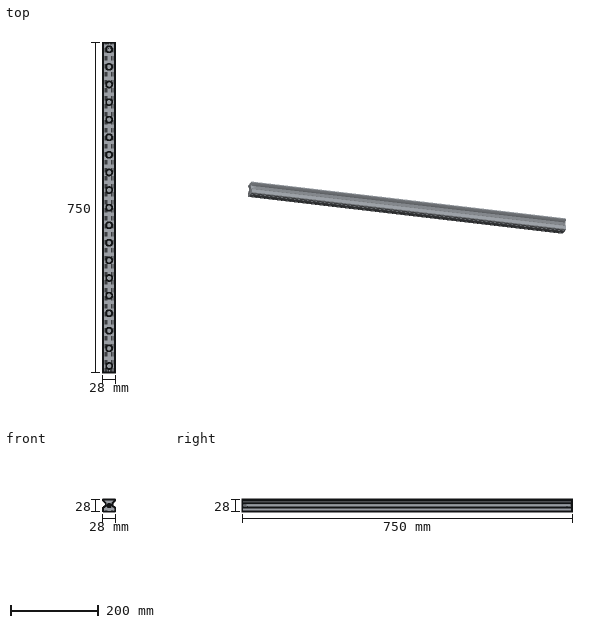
import cadquery as cq

RAIL_LENGTH = 750.0
RAIL_HEIGHT = 28.0
HALF_WIDTH = 14.0

TOP_CHAMFER_WIDTH = 1.0
TOP_CHAMFER_HEIGHT = 0.35
HEAD_EDGE_Z = 25.8
HEAD_LIP_HALF = 12.5
HEAD_LIP_Z = 24.2

WAIST_HALF = 8.0
WAIST_TOP_Z = 19.8
WAIST_BOTTOM_Z = 13.0
WAIST_FILLET = 4.5

SHOULDER_HALF = 12.4
SHOULDER_Z = 10.6
FOOT_EDGE_Z = 8.8
FOOT_CHAMFER = 1.5

GROOVE_INNER = 5.2
GROOVE_OUTER = 8.8
GROOVE_DEPTH = 0.5

BORE_DIAMETER = 14.0
BORE_DEPTH = 0.5
BORE_PITCH = 40.0
BORE_COUNT = 19

END_BORE_DIAMETER = 5.0
END_BORE_DEPTH = 12.0
COUNTERSINK_DIAMETER = 8.0
COUNTERSINK_ANGLE = 90.0
END_BORE_Z = 14.0


def half_section():
    """Outline of the +X half of the cross-section, closed along X = 0."""
    return (
        cq.Workplane("XZ")
        .moveTo(0, 0)
        .lineTo(GROOVE_INNER, 0)
        .lineTo(GROOVE_INNER, GROOVE_DEPTH)
        .lineTo(GROOVE_OUTER, GROOVE_DEPTH)
        .lineTo(GROOVE_OUTER, 0)
        .lineTo(HALF_WIDTH - FOOT_CHAMFER, 0)
        .lineTo(HALF_WIDTH, FOOT_CHAMFER)
        .lineTo(HALF_WIDTH, FOOT_EDGE_Z)
        .lineTo(SHOULDER_HALF, SHOULDER_Z)
        .lineTo(WAIST_HALF, WAIST_BOTTOM_Z)
        .lineTo(WAIST_HALF, WAIST_TOP_Z)
        .lineTo(HEAD_LIP_HALF, HEAD_LIP_Z)
        .lineTo(HALF_WIDTH, HEAD_EDGE_Z)
        .lineTo(HALF_WIDTH, RAIL_HEIGHT - TOP_CHAMFER_HEIGHT)
        .lineTo(HALF_WIDTH - TOP_CHAMFER_WIDTH, RAIL_HEIGHT)
        .lineTo(0, RAIL_HEIGHT)
        .close()
    )


def rail_body():
    """Extrude the half section along Y, centred on the origin, and mirror it."""
    half = half_section().extrude(RAIL_LENGTH / 2, both=True)
    waist_corner = cq.selectors.NearestToPointSelector((WAIST_HALF, 0, WAIST_BOTTOM_Z))
    half = half.edges("|Y").edges(waist_corner).fillet(WAIST_FILLET)
    return half.union(half.mirror("YZ")).clean()


def mounting_bores():
    """Row of cylinders sunk from the top, evenly spaced about the middle."""
    return (
        cq.Workplane("XY", origin=(0, 0, RAIL_HEIGHT - BORE_DEPTH))
        .rarray(1, BORE_PITCH, 1, BORE_COUNT)
        .circle(BORE_DIAMETER / 2)
        .extrude(BORE_DEPTH)
    )


def drill_end_bores(body):
    """Drill the countersunk bore into both end faces."""
    for end_face in ("<Y", ">Y"):
        body = (
            body.faces(end_face)
            .workplane(origin=(0, 0, END_BORE_Z))
            .cskHole(END_BORE_DIAMETER, COUNTERSINK_DIAMETER, COUNTERSINK_ANGLE, END_BORE_DEPTH)
        )
    return body


result = drill_end_bores(rail_body().cut(mounting_bores()))